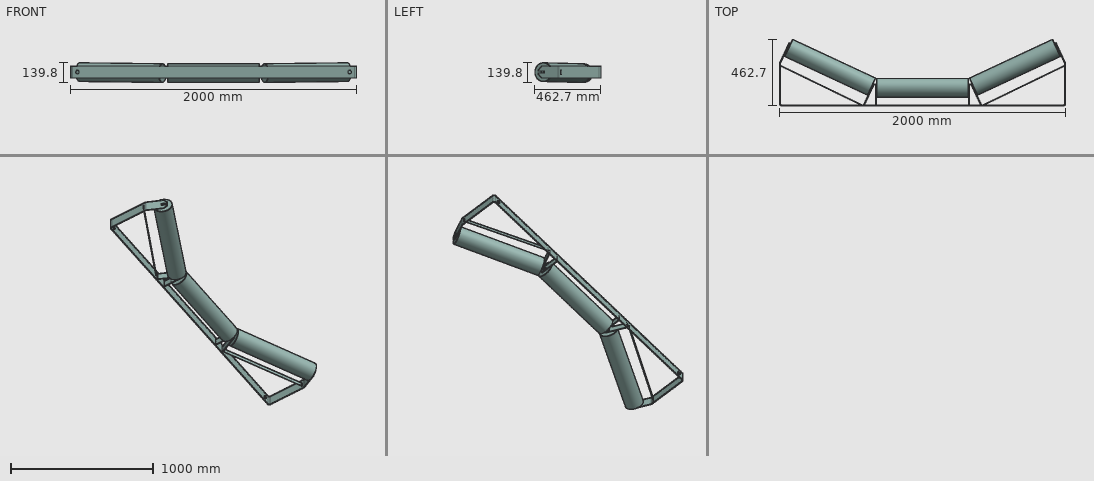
import cadquery as cq
import math


frame_length = 2000.0
strap_width = 85.0
strap_thickness = 7.0
bend_radius = 15.0
trough_angle = 25.0
leg_height = 300.0
leg_tip_length = 155.0
leg_tip_chamfer = 25.0
mount_hole_diameter = 25.0
mount_hole_inset = 48.0

rollers_depth = 140.0
roller_length = 642.0
roller_chamfer = 3.0
roller_drop = 7.0
spindle_diameter = 20.0
spindle_flats = 15.0
slot_clearance = 1.0
middle_axis_height = 125.0
tip_to_axis = 35.0
outer_end_gap = 12.0
inner_end_gap = 2.0

bracket_height = 152.0
bracket_width = 55.0
brace_thickness = 5.0
brace_height = 32.0
brace_top = 285.0
brace_foot_x = -425.0

half_length = frame_length / 2
lean = math.radians(trough_angle)
axis_dir = cq.Vector(math.cos(lean), -math.sin(lean), 0)
leg_dir = cq.Vector(math.sin(lean), math.cos(lean), 0)
z_dir = cq.Vector(0, 0, 1)
slot_width = spindle_flats + slot_clearance
roller_diameter = rollers_depth - roller_drop

leg_bend = cq.Vector(-half_length, leg_height, 0)
leg_tip = leg_bend + leg_dir * leg_tip_length
outer_support = leg_tip - leg_dir * tip_to_axis

bracket_face_x = -(roller_length / 2 + inner_end_gap)
bracket_back_x = bracket_face_x - strap_thickness
bracket_drop = cq.Vector(0, 0, -roller_drop)
side_face_distance = outer_end_gap + roller_length + inner_end_gap
side_span = side_face_distance + strap_thickness
side_face = outer_support + axis_dir * side_face_distance
inner_support = outer_support + axis_dir * side_span + bracket_drop


def slab(points, height):
    """Prism over an XY outline, centred on Z = 0."""
    return cq.Workplane("XY").polyline(points).close().extrude(height / 2, both=True)


def mirrored(body):
    return body.mirror("YZ")


def spindle_slot(axis_point, along):
    """Open-topped slot square to `along`; its floor is one spindle radius below the axis."""
    length = 4 * strap_thickness
    depth = 4 * spindle_diameter
    return (
        cq.Workplane(cq.Plane(axis_point, along, z_dir))
        .center(0, (depth - spindle_diameter) / 2)
        .rect(length, depth)
        .extrude(slot_width / 2, both=True)
    )


def make_brace():
    angle = math.atan2(brace_top - strap_thickness, brace_foot_x + half_length)
    rise = brace_thickness / math.cos(angle)
    run = brace_thickness / math.sin(angle)
    outline = [
        (-half_length, brace_top),
        (-half_length, brace_top - rise),
        (brace_foot_x - run, strap_thickness),
        (brace_foot_x, strap_thickness),
    ]
    return slab(outline, brace_height)


def round_bends(frame, left_corners, radius):
    """Fillet the Z edges at the given XY corners and at their mirror images."""
    for x, y in left_corners:
        for side in (1, -1):
            corner_edge = cq.selectors.NearestToPointSelector((side * x, y, 0))
            frame = frame.edges("|Z").edges(corner_edge).fillet(radius)
    return frame


def make_frame(braces):
    inner_x = -half_length + strap_thickness
    inner_bend_y = leg_height - strap_thickness * math.tan(lean / 2)
    tip_inside = leg_tip + axis_dir * strap_thickness
    outer_side = [(-half_length, 0), (leg_bend.x, leg_bend.y), (leg_tip.x, leg_tip.y)]
    inner_side = [(tip_inside.x, tip_inside.y), (inner_x, inner_bend_y), (inner_x, strap_thickness)]
    left = outer_side + inner_side
    right = [(-x, y) for x, y in reversed(left)]
    frame = slab(left + right, strap_width)

    outer_bends = [(-half_length, 0), (-half_length, leg_height)]
    inner_bends = [(inner_x, strap_thickness), (inner_x, inner_bend_y)]
    frame = round_bends(frame, outer_bends, bend_radius)
    frame = round_bends(frame, inner_bends, bend_radius - strap_thickness)

    right_axis_dir = cq.Vector(-axis_dir.x, axis_dir.y, 0)
    for through_leg in (axis_dir, right_axis_dir):
        tip_corners = cq.selectors.ParallelDirSelector(through_leg)
        frame = frame.edges(tip_corners).edges(">Y").chamfer(leg_tip_chamfer)
    slot = spindle_slot(outer_support, axis_dir)
    frame = frame.cut(slot).cut(mirrored(slot))

    mount_holes = (
        cq.Workplane("XZ")
        .pushPoints([(-half_length + mount_hole_inset, 0), (half_length - mount_hole_inset, 0)])
        .circle(mount_hole_diameter / 2)
        .extrude(-strap_thickness)
    )
    frame = frame.cut(mount_holes)
    for brace in braces:
        frame = frame.cut(brace)
    return frame


def slanted_x(y, offset):
    """X at height y on the plane of the slanted leg, `offset` behind its roller face."""
    return side_face.x + offset / math.cos(lean) + (y - side_face.y) * math.tan(lean)


def make_bracket():
    foot = strap_thickness
    under_fold = bracket_height - strap_thickness
    outline = [
        (bracket_face_x, foot),
        (bracket_face_x, bracket_height),
        (slanted_x(bracket_height, 0), bracket_height),
        (slanted_x(foot, 0), foot),
        (slanted_x(foot, strap_thickness), foot),
        (slanted_x(under_fold, strap_thickness), under_fold),
        (bracket_back_x, under_fold),
        (bracket_back_x, foot),
    ]
    upright_axis = cq.Vector(bracket_face_x, middle_axis_height, -roller_drop)
    return (
        slab(outline, bracket_width)
        .translate(bracket_drop)
        .cut(spindle_slot(upright_axis, cq.Vector(1, 0, 0)))
        .cut(spindle_slot(side_face + bracket_drop, axis_dir))
    )


def make_roller(start, end, start_gap):
    """Roller whose spindle runs from `start` to `end`; the shell begins `start_gap` along it."""
    span = end - start
    spindle = (
        cq.Workplane("XY")
        .circle(spindle_diameter / 2)
        .extrude(span.Length)
        .intersect(cq.Workplane("XY").rect(spindle_flats, spindle_diameter).extrude(span.Length))
    )
    shell = (
        cq.Workplane("XY", origin=(0, 0, start_gap))
        .circle(roller_diameter / 2)
        .extrude(roller_length)
        .edges()
        .chamfer(roller_chamfer)
    )
    flat_dir = z_dir - span * (z_dir.dot(span) / span.dot(span))
    placement = cq.Location(cq.Plane(start, flat_dir, span))
    return cq.Workplane(spindle.union(shell).val().moved(placement))


left_brace = make_brace()
braces = [left_brace, mirrored(left_brace)]

frame = make_frame(braces)

left_bracket = make_bracket()
brackets = [left_bracket, mirrored(left_bracket)]

middle_start = cq.Vector(bracket_back_x, middle_axis_height, -roller_drop)
middle_end = cq.Vector(-bracket_back_x, middle_axis_height, -roller_drop)
middle_roller = make_roller(middle_start, middle_end, strap_thickness + inner_end_gap)
side_roller = make_roller(outer_support, inner_support, outer_end_gap)
rollers = [middle_roller, side_roller, mirrored(side_roller)]

bodies = [frame, *brackets, *braces, *rollers]
result = cq.Compound.makeCompound([body.val() for body in bodies])